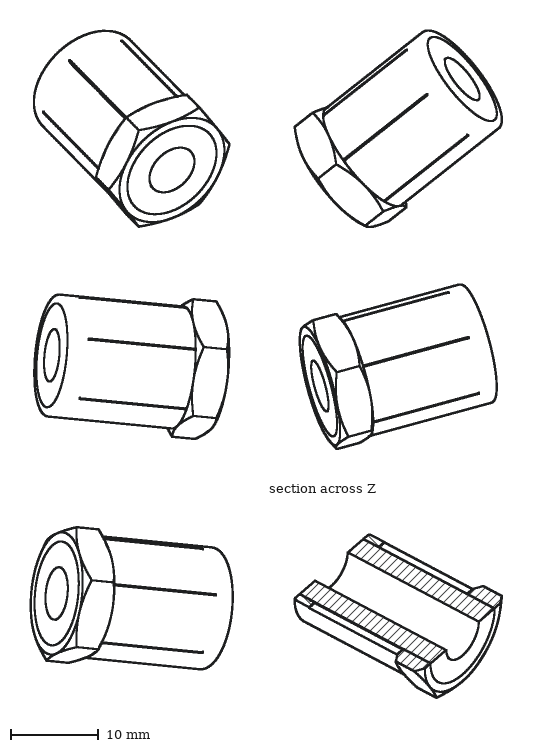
import cadquery as cq
import math


total_length = 19.0
nut_thickness = 4.0
sleeve_length = total_length - nut_thickness

bore_diameter = 6.0
inner_diameter = 11.9
outer_diameter = 14.0
across_flats = outer_diameter
half_side_angle = 30.0
across_corners = across_flats / math.cos(math.radians(half_side_angle))

rim_fillet = 0.27
slit_count = 6
slit_width = 0.142
slit_start = 2.25

chamfer_angle = 30.0


def tube(length, outside, inside):
    """Tube along X that begins at X = 0."""
    return (
        cq.Workplane("YZ")
        .circle(outside / 2)
        .circle(inside / 2)
        .extrude(length)
    )


def slit_cutter(angle):
    """Thin blade that slits the wall radially, open at the nut end; 0 degrees points to +Y."""
    slit_length = sleeve_length - slit_start
    inner_radius = inner_diameter / 2
    blade_depth = outer_diameter - inner_radius
    blade = cq.Workplane("XY").box(slit_length, blade_depth, slit_width, centered=(False, False, True))
    blade = blade.translate((slit_start, inner_radius - slit_width, 0))
    return blade.rotate((0, 0, 0), (1, 0, 0), angle)


def make_inner_sleeve():
    return tube(total_length, inner_diameter, bore_diameter)


def make_outer_sleeve():
    sleeve = tube(sleeve_length, outer_diameter, inner_diameter)
    free_end_rim = cq.selectors.RadiusNthSelector(-1)
    sleeve = sleeve.faces("<X").edges(free_end_rim).fillet(rim_fillet)
    for i in range(slit_count):
        sleeve = sleeve.cut(slit_cutter(i * 360 / slit_count))
    return sleeve


def make_nut():
    hexagon = (
        cq.Workplane("YZ", origin=(sleeve_length, 0, 0))
        .polygon(6, across_corners)
        .extrude(nut_thickness)
    )
    face_radius = across_flats / 2
    middle_x = sleeve_length + nut_thickness / 2
    middle_radius = face_radius + nut_thickness / 2 / math.tan(math.radians(chamfer_angle))
    double_cone = (
        cq.Workplane("XY")
        .moveTo(sleeve_length, 0)
        .lineTo(sleeve_length, face_radius)
        .lineTo(middle_x, middle_radius)
        .lineTo(total_length, face_radius)
        .lineTo(total_length, 0)
        .close()
        .revolve(360, (0, 0, 0), (1, 0, 0))
    )
    hole = cq.Workplane("YZ", origin=(sleeve_length, 0, 0)).circle(inner_diameter / 2).extrude(nut_thickness)
    return hexagon.intersect(double_cone).cut(hole)


inner_sleeve = make_inner_sleeve()
outer_sleeve = make_outer_sleeve()
nut = make_nut()

result = cq.Compound.makeCompound([inner_sleeve.val(), outer_sleeve.val(), nut.val()])